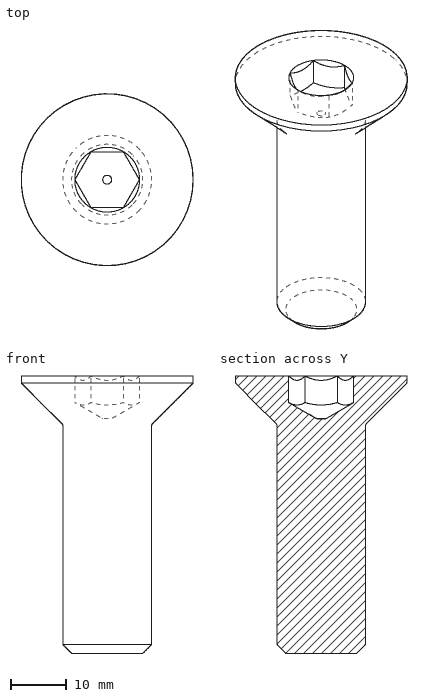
import cadquery as cq
import math

LENGTH = 50.0
SHANK_DIAMETER = 16.0
HEAD_DIAMETER = 31.0
HEAD_RIM_HEIGHT = 1.3
COUNTERSINK_SLOPE = math.radians(45)
NECK_FILLET_RADIUS = 0.6
TIP_CHAMFER = 1.6

HEX_ACROSS_FLATS = 10.07
LEAD_IN_DIAMETER = 11.68
HEX_DEPTH = 4.8
LEAD_IN_SLOPE = math.radians(45)
FLOOR_SLOPE = math.radians(30)
FLOOR_FLAT_DIAMETER = 1.6

SHANK_RADIUS = SHANK_DIAMETER / 2
HEAD_RADIUS = HEAD_DIAMETER / 2
RIM_BOTTOM = LENGTH - HEAD_RIM_HEIGHT
NECK_Z = RIM_BOTTOM - (HEAD_RADIUS - SHANK_RADIUS) / math.tan(COUNTERSINK_SLOPE)

HEX_SIDES = 6
HEX_ACROSS_CORNERS = HEX_ACROSS_FLATS / math.cos(math.pi / HEX_SIDES)
HEX_CORNER_RADIUS = HEX_ACROSS_CORNERS / 2
LEAD_IN_RADIUS = LEAD_IN_DIAMETER / 2
FLOOR_FLAT_RADIUS = FLOOR_FLAT_DIAMETER / 2
FLOOR_RISE = (HEX_CORNER_RADIUS - FLOOR_FLAT_RADIUS) * math.tan(FLOOR_SLOPE)
FLOOR_EDGE_Z = LENGTH - HEX_DEPTH
FLOOR_Z = FLOOR_EDGE_Z - FLOOR_RISE


def revolve_profile(points):
    """Solid of revolution about Z from a closed outline of (radius, z) points."""
    return cq.Workplane("XZ").polyline(points).close().revolve(360, (0, 0), (0, 1))


def make_body():
    """Revolved head and shank, with the fillet where the countersink meets the shank."""
    half_turn = COUNTERSINK_SLOPE / 2
    tangent_length = NECK_FILLET_RADIUS * math.tan(half_turn)
    step_out = tangent_length * math.sin(COUNTERSINK_SLOPE)
    step_up = tangent_length * math.cos(COUNTERSINK_SLOPE)
    fillet_start = (SHANK_RADIUS + step_out, NECK_Z + step_up)
    fillet_end = (SHANK_RADIUS, NECK_Z - tangent_length)
    fillet_center = (SHANK_RADIUS + NECK_FILLET_RADIUS, fillet_end[1])
    fillet_middle = (
        fillet_center[0] - NECK_FILLET_RADIUS * math.cos(half_turn),
        fillet_center[1] + NECK_FILLET_RADIUS * math.sin(half_turn),
    )
    return (
        cq.Workplane("XZ")
        .moveTo(0, 0)
        .lineTo(SHANK_RADIUS - TIP_CHAMFER, 0)
        .lineTo(SHANK_RADIUS, TIP_CHAMFER)
        .lineTo(*fillet_end)
        .threePointArc(fillet_middle, fillet_start)
        .lineTo(HEAD_RADIUS, RIM_BOTTOM)
        .lineTo(HEAD_RADIUS, LENGTH)
        .lineTo(0, LENGTH)
        .close()
        .revolve(360, (0, 0), (0, 1))
    )


def make_socket():
    """Hexagonal recess with a conical lead-in and a conical floor ending in a small flat."""
    hexagon = (
        cq.Workplane("XY")
        .workplane(offset=FLOOR_Z)
        .polygon(HEX_SIDES, HEX_ACROSS_CORNERS)
        .extrude(LENGTH - FLOOR_Z)
    )
    floor_limit = revolve_profile([
        (0, FLOOR_Z),
        (FLOOR_FLAT_RADIUS, FLOOR_Z),
        (HEX_CORNER_RADIUS, FLOOR_EDGE_Z),
        (HEX_CORNER_RADIUS, LENGTH),
        (0, LENGTH),
    ])
    lead_in_height = LEAD_IN_RADIUS * math.tan(LEAD_IN_SLOPE)
    lead_in = revolve_profile([
        (0, LENGTH),
        (LEAD_IN_RADIUS, LENGTH),
        (0, LENGTH - lead_in_height),
    ])
    return hexagon.intersect(floor_limit).union(lead_in)


result = make_body().cut(make_socket())